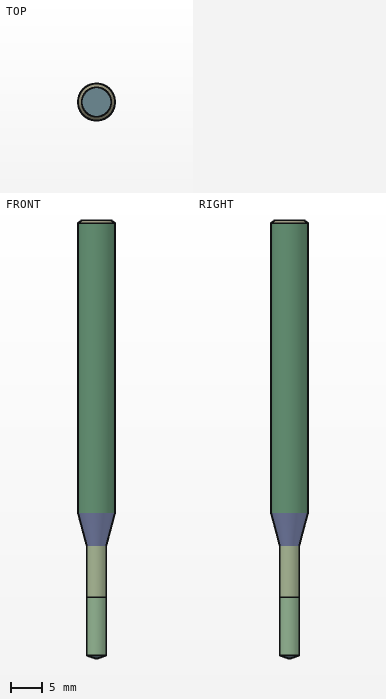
import cadquery as cq

total_length = 70.55
point_height = 0.55
cutter_top = 9.95
neck_top = 18.2
taper_top = 23.5

shank_diameter = 6.0
cutter_diameter = 3.2
neck_diameter = cutter_diameter

bevel_width = 0.6
bevel_height = 0.5

shank_radius = shank_diameter / 2
cutter_radius = cutter_diameter / 2
neck_radius = neck_diameter / 2


def revolve_profile(points):
    """Turn a half outline of (radius, height) points around the Z axis."""
    return cq.Workplane("XZ").polyline(points).close().revolve(360, (0, 0, 0), (0, 1, 0))


def make_cutter():
    """Cylindrical cutting end with a shallow conical point."""
    return revolve_profile([
        (0, 0),
        (cutter_radius, point_height),
        (cutter_radius, cutter_top),
        (0, cutter_top),
    ])


def make_shank():
    """Neck, taper and bevelled shank, resting on the flat top of the cutter."""
    return revolve_profile([
        (0, cutter_top),
        (neck_radius, cutter_top),
        (neck_radius, neck_top),
        (shank_radius, taper_top),
        (shank_radius, total_length - bevel_height),
        (shank_radius - bevel_width, total_length),
        (0, total_length),
    ])


cutter = make_cutter()
shank = make_shank()

result = cq.Compound.makeCompound([cutter.val(), shank.val()])